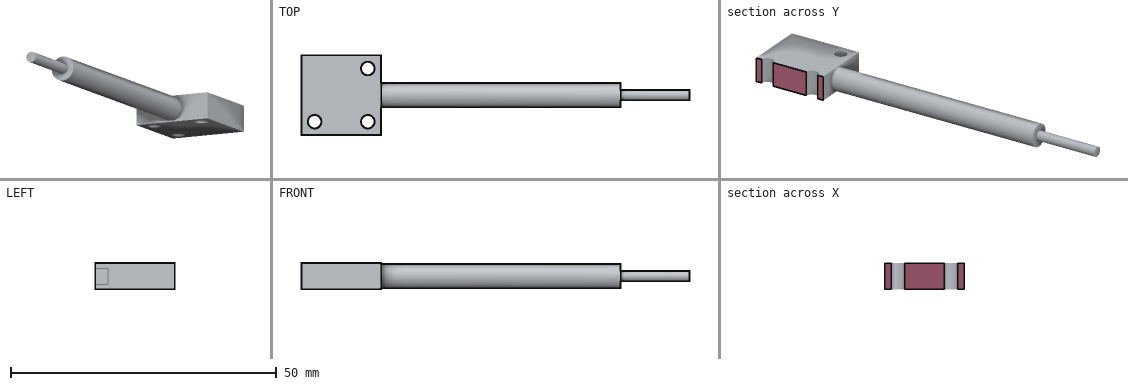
import cadquery as cq

total_length = 73.0
head_size = 15.0
head_thickness = 5.0
sleeve_end = 60.0
sleeve_diameter = 4.6
cable_diameter = 2.0
hole_diameter = 2.5
hole_inset = 2.5
window_size = 2.4
window_height = 3.0

head_half = head_size / 2
hole_offset = head_half - hole_inset
near_hole_x = hole_inset
far_hole_x = head_size - hole_inset


def make_head():
    """Square block with mounting holes in three of its corners."""
    hole_centres = [
        (near_hole_x, -hole_offset),
        (far_hole_x, -hole_offset),
        (far_hole_x, hole_offset),
    ]
    block = cq.Workplane("XY").box(head_size, head_size, head_thickness, centered=(False, True, True))
    holes = (
        cq.Workplane("XY")
        .pushPoints(hole_centres)
        .circle(hole_diameter / 2)
        .extrude(head_thickness / 2, both=True)
    )
    return block.cut(holes)


def make_window():
    """Sensing window filling the middle of the front +Y corner, flush with the head."""
    return (
        cq.Workplane("XY")
        .box(window_size, window_size, window_height, centered=(False, False, True))
        .translate((0, head_half - window_size, 0))
    )


def make_rod(diameter, start_x, end_x):
    """Round rod on the X axis."""
    return cq.Workplane("YZ", origin=(start_x, 0, 0)).circle(diameter / 2).extrude(end_x - start_x)


window = make_window()
sleeve = make_rod(sleeve_diameter, head_size, sleeve_end)
cable = make_rod(cable_diameter, sleeve_end, total_length)

result = make_head().union(sleeve).union(cable).cut(window).union(window, clean=False)